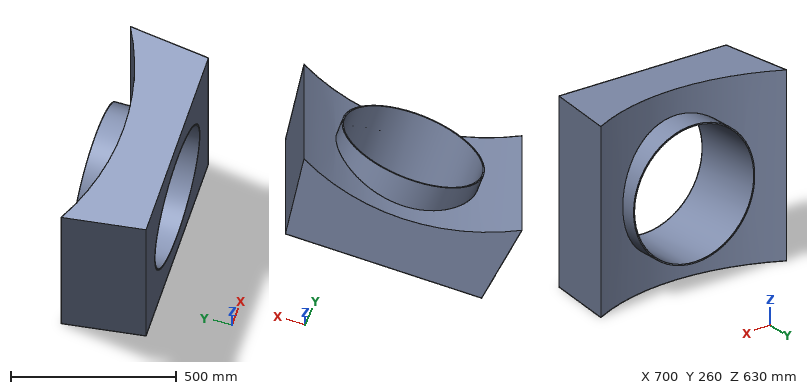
import cadquery as cq

back_width = 700.0
front_width = 630.0
height = 630.0
corner_depth = 257.5
saddle_depth = 170.0

sleeve_diameter = 457.0
sleeve_wall = 4.0
sleeve_length = 260.0


def cylinder_along_y(diameter, length):
    """Cylinder centred on the Y axis, running from Y = 0 towards +Y."""
    return cq.Workplane("XZ").circle(diameter / 2).extrude(-length)


def make_block():
    """Saddle block with tapered sides, a concave back and a bore for the sleeve."""
    outline = (
        cq.Workplane("XY")
        .moveTo(-front_width / 2, 0)
        .lineTo(front_width / 2, 0)
        .lineTo(back_width / 2, corner_depth)
        .threePointArc((0, saddle_depth), (-back_width / 2, corner_depth))
        .close()
    )
    body = outline.extrude(height / 2, both=True)
    return body.cut(cylinder_along_y(sleeve_diameter, sleeve_length))


def make_sleeve():
    """Pipe flush with the front face and standing out of the concave back."""
    bore_diameter = sleeve_diameter - 2 * sleeve_wall
    outer = cylinder_along_y(sleeve_diameter, sleeve_length)
    return outer.cut(cylinder_along_y(bore_diameter, sleeve_length))


block = make_block()
sleeve = make_sleeve()

result = cq.Compound.makeCompound([block.val(), sleeve.val()])